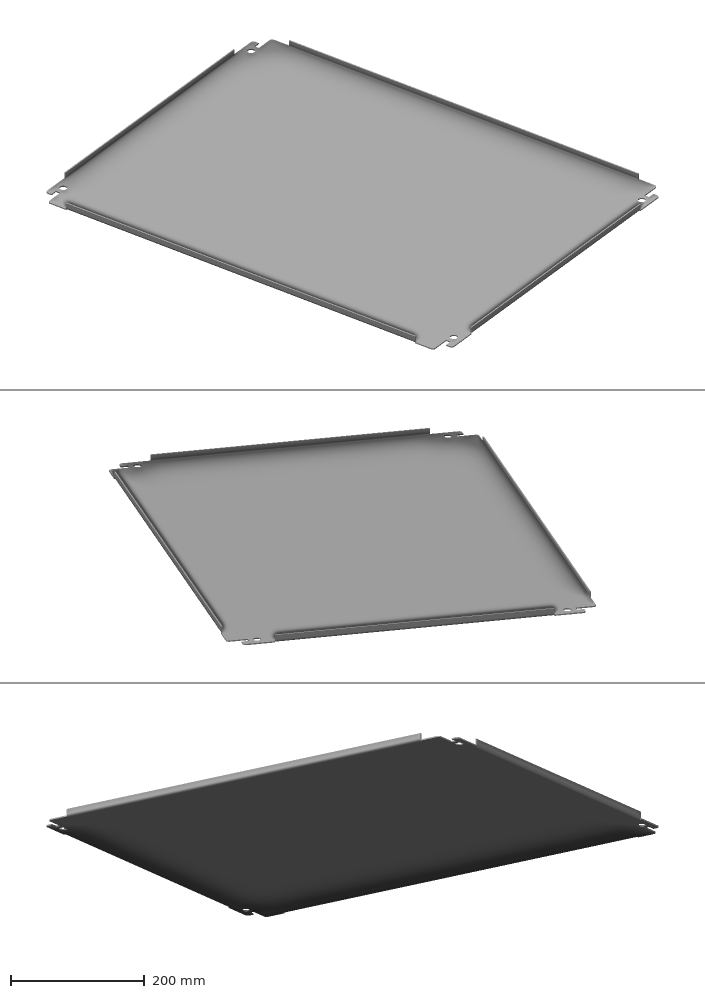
import cadquery as cq

length = 750.0
width = 570.0
height = 12.0
thickness = 2.0
bend_outer_radius = 4.05
bend_inner_radius = bend_outer_radius - thickness

tab_setback = 21.0
tab_width = 11.0
slot_outer_side = 19.5
slot_depth = 32.0
corner_radius = 4.5

hole_diameter = 12.0
hole_inset_x = 15.0
hole_inset_y = 46.0
long_flange_setback = 53.0
short_flange_setback = 70.0


def base_plate():
    """Flat sheet with a slot and a shortened tab at every corner."""
    plate = cq.Workplane("XY").box(length, width, thickness, centered=(True, True, False))
    slot_width = slot_outer_side - tab_width
    for side_x in (-1, 1):
        for side_y in (-1, 1):
            tab_relief = (
                cq.Workplane("XY")
                .center(side_x * (length - slot_outer_side) / 2, side_y * (width - tab_setback) / 2)
                .rect(slot_outer_side, tab_setback)
                .extrude(thickness)
            )
            slot = (
                cq.Workplane("XY")
                .center(
                    side_x * (length / 2 - tab_width - slot_width / 2),
                    side_y * (width - slot_depth) / 2,
                )
                .rect(slot_width, slot_depth)
                .extrude(thickness)
            )
            plate = plate.cut(tab_relief).cut(slot)
    return round_outer_corners(plate)


def round_outer_corners(plate):
    """Round the outer corner of each tab and each corner of the main panel."""
    corners = [
        (length / 2, width / 2 - tab_setback),
        (length / 2 - slot_outer_side, width / 2),
    ]
    for corner_x, corner_y in corners:
        for side_x in (-1, 1):
            for side_y in (-1, 1):
                nearest = cq.selectors.NearestToPointSelector(
                    (side_x * corner_x, side_y * corner_y, thickness / 2)
                )
                plate = plate.edges("|Z").edges(nearest).fillet(corner_radius)
    return plate


def flange(outer_reach, flange_length):
    """Upturned edge facing +X, with the outside of its wall at outer_reach."""
    bend_start = outer_reach - bend_outer_radius
    inner_reach = outer_reach - thickness
    return (
        cq.Workplane("XZ")
        .moveTo(bend_start, 0)
        .radiusArc((outer_reach, bend_outer_radius), -bend_outer_radius)
        .lineTo(outer_reach, height)
        .lineTo(inner_reach, height)
        .lineTo(inner_reach, bend_outer_radius)
        .radiusArc((bend_start, thickness), bend_inner_radius)
        .close()
        .extrude(flange_length / 2, both=True)
    )


def add_flange(plate, outer_reach, flange_length, angle):
    """Replace a flat strip at the plate's edge with a bent flange."""
    strip = (
        cq.Workplane("XY")
        .center(outer_reach - bend_outer_radius / 2, 0)
        .rect(bend_outer_radius, flange_length)
        .extrude(thickness)
    )
    axis_start = (0, 0, 0)
    axis_end = (0, 0, 1)
    plate = plate.cut(strip.rotate(axis_start, axis_end, angle))
    return plate.union(flange(outer_reach, flange_length).rotate(axis_start, axis_end, angle))


result = base_plate()

for angle in (0, 180):
    result = add_flange(result, length / 2, width - 2 * short_flange_setback, angle)
for angle in (90, 270):
    result = add_flange(result, width / 2, length - 2 * long_flange_setback, angle)

mounting_holes = (
    cq.Workplane("XY")
    .rect(length - 2 * hole_inset_x, width - 2 * hole_inset_y, forConstruction=True)
    .vertices()
    .circle(hole_diameter / 2)
    .extrude(thickness)
)
result = result.cut(mounting_holes)